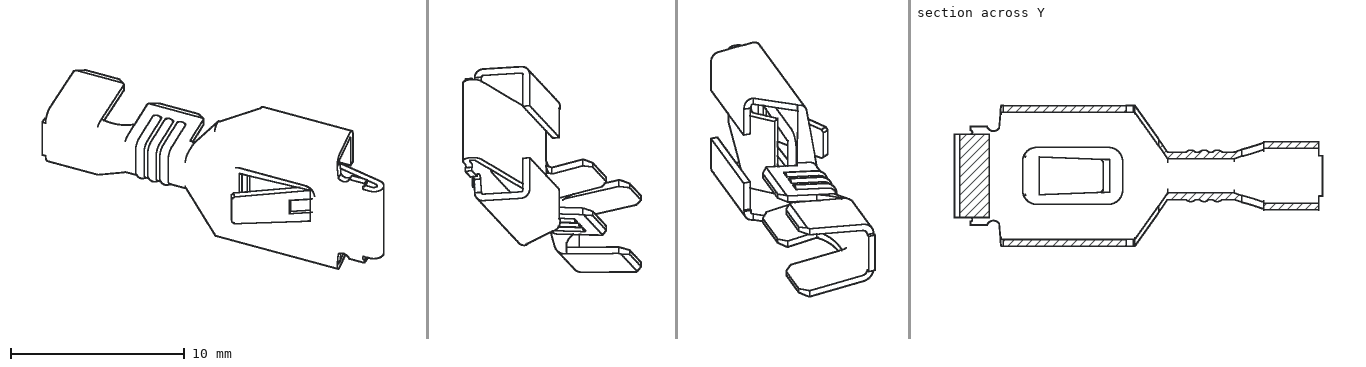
import cadquery as cq
import math

sheet = 0.4

ins_floor_y = -0.21
ins_half_floor = 1.17
ins_bend_radius = 0.73
ins_lean = 6.4
ins_top = 4.19
ins_wing_start = 0.22
ins_end = 3.40
ins_tip_bevel = 0.38
ins_corner_x = 0.53
ins_corner_y = 0.48

wire_floor_y = 0.05
wire_half_floor = 0.73
wire_bend_radius = 0.57
wire_lean = 8.5
wire_top = 3.69
wire_start = 5.08
wire_wing_end = 8.63
wire_end = 8.92
wire_tip_bevel = 0.38
wire_corner_x = 0.52
wire_corner_y = 0.42
tip_bevel_depth = 0.14

bead_width = 0.535
bead_height = 0.12
bead_pitch = 0.765
bead_middle = 6.82
bead_count = 3
bead_top = 2.5

neck_low = 0.57
neck_middle_x = 4.45
neck_middle_y = 0.94
neck_high = 1.5
flare_high = 1.4
flare_low = 0.55

box_start = 10.8
box_end = 18.54
box_half_width = 4.05
box_height = 3.19
box_bend_radius = 0.51
lip_inner_z = 1.6
lip_step_z = 3.4
lip_step_depth = 0.13
lip_bend_y = box_height - box_bend_radius
wall_front_foot_x = 10.89
wall_front_bend_x = 12.48
wall_front_top_x = 12.53
wall_rear_bend_x = 18.14
wall_rear_top_x = 18.1

neck_plate_z = 2.75
neck_plate_x = 18.61
shoulder_start = 19.3
shoulder_end = 20.26
shoulder_z = 2.84
notch_bottom_x = 18.96
notch_bottom_z = 2.58
relief_radius = 0.11
spring_half_width = 2.4

fold_x = 20.6
fold_radius = 0.58
spring_rise = 12.5
lead_in_angle = 45.0
lead_in_end_x = 12.2
lead_in_end_y = 1.46
spring_crest_radius = 0.6

dish_start = 11.5
dish_end = 17.26
dish_half_width = 1.64
dish_corner_radius = 0.83
dish_wall_run = 0.4
dish_depth = 0.25
dish_core_overlap = 0.05

lance_angle = 30.2
lance_floor_x = 16.3
lance_tip_y = -2.03
lance_tip_half = 0.93
lance_root_half = 1.115
lance_tip_chamfer = 0.14
lance_slot_start = 12.25
lance_root_end = 17.09
rib_start = 15.68
rib_half_width = 0.48
rib_depth = 0.1
rib_edge_run = 0.09

lance_slope = math.tan(math.radians(lance_angle))
lance_sine = math.sin(math.radians(lance_angle))
lance_cosine = math.cos(math.radians(lance_angle))
lance_tip_x = lance_floor_x + lance_tip_y / lance_slope

through = 20.0


def outer_bend_end(half_floor, radius, lean, floor_y):
    """(Y, Z) where the bend of a channel section runs into its wing."""
    angle = math.radians(lean)
    return floor_y + radius * (1 - math.sin(angle)), half_floor + radius * math.cos(angle)


def bend_point(half_floor, radius, center_y, sweep):
    """(Y, Z) on a bend arc, the sweep being measured from the floor."""
    angle = math.radians(sweep)
    return center_y - radius * math.cos(angle), half_floor + radius * math.sin(angle)


def wing_z(half_floor, radius, lean, floor_y, y):
    """Z of the outer wing face at height y."""
    bend_y, bend_z = outer_bend_end(half_floor, radius, lean, floor_y)
    return bend_z + (y - bend_y) * math.tan(math.radians(lean))


def mirrored(points):
    """(Y, Z) points reflected in the plane Z = 0."""
    return [(y, -z) for y, z in points]


def channel(work, half_floor, radius, lean, floor_y, top, bevel=0.0):
    """Closed U section of constant sheet thickness with wings leaning outward."""
    center_y = floor_y + radius
    sweep = 90 - lean
    inner = radius - sheet
    thickness_z = sheet / math.cos(math.radians(lean))
    out_start = (floor_y, half_floor)
    out_mid = bend_point(half_floor, radius, center_y, sweep / 2)
    out_end = bend_point(half_floor, radius, center_y, sweep)
    in_start = (floor_y + sheet, half_floor)
    in_mid = bend_point(half_floor, inner, center_y, sweep / 2)
    in_end = bend_point(half_floor, inner, center_y, sweep)
    top_z = wing_z(half_floor, radius, lean, floor_y, top)
    tips = [(top, top_z), (top, top_z - thickness_z)]
    if bevel:
        bevel_y = top - bevel
        bevel_z = wing_z(half_floor, radius, lean, floor_y, bevel_y)
        tips = [(bevel_y, bevel_z), (top, top_z - tip_bevel_depth), tips[1]]
    left = mirrored([in_start, in_mid, in_end])
    left_out = mirrored([out_end, out_mid, out_start])
    work = work.moveTo(*out_start).threePointArc(out_mid, out_end)
    for point in tips + [in_end]:
        work = work.lineTo(*point)
    work = work.threePointArc(in_mid, in_start).lineTo(*left[0]).threePointArc(left[1], left[2])
    for point in mirrored(tips[::-1]) + [left_out[0]]:
        work = work.lineTo(*point)
    return work.threePointArc(left_out[1], left_out[2]).close()


def section_plane(x):
    """Workplane across the part at x, its local axes being Y and Z."""
    return cq.Workplane("YZ", origin=(x, 0, 0))


def side_prism(points):
    """Solid with the given outline in XY, reaching far to both sides in Z."""
    return cq.Workplane("XY").polyline(points).close().extrude(through, both=True)


INS = (ins_half_floor, ins_bend_radius, ins_lean, ins_floor_y)
WIRE = (wire_half_floor, wire_bend_radius, wire_lean, wire_floor_y)
BOX = (box_half_width - box_bend_radius, box_bend_radius, 0.0, 0.0)


def crimp(section, start, end, top, bevel, corner_x, corner_y):
    """Crimp channel with bevelled wing tips and clipped tip corners."""
    body = channel(section_plane(start), *section, top, bevel).extrude(end - start)
    floor_y = section[3]
    outline = [
        (start, floor_y),
        (start, top - corner_y),
        (start + corner_x, top),
        (end - corner_x, top),
        (end, top - corner_y),
        (end, floor_y),
    ]
    return body.intersect(side_prism(outline))


def insulation_crimp():
    """Insulation crimp with its floor running on past the wings to the cable end."""
    body = crimp(INS, ins_wing_start, ins_end, ins_top, ins_tip_bevel, ins_corner_x, ins_corner_y)
    tab = cq.Workplane("XY").box(ins_end, sheet, 2 * ins_half_floor, centered=(False, False, True))
    return body.union(tab.translate((0, ins_floor_y, 0)))


def bead(x):
    """Bead of circular-segment section running around the outside of the wire crimp."""
    bend_y, bend_z = outer_bend_end(*WIRE)
    center_y = wire_floor_y + wire_bend_radius
    middle = bend_point(wire_half_floor, wire_bend_radius, center_y, (90 - wire_lean) / 2)
    top_z = wing_z(*WIRE, bead_top)
    path = (
        section_plane(x)
        .moveTo(bead_top, -top_z)
        .lineTo(bend_y, -bend_z)
        .threePointArc((middle[0], -middle[1]), (wire_floor_y, -wire_half_floor))
        .lineTo(wire_floor_y, wire_half_floor)
        .threePointArc(middle, (bend_y, bend_z))
        .lineTo(bead_top, top_z)
    )
    lean = math.radians(wire_lean)
    start = cq.Plane(
        origin=(x, bead_top, -top_z),
        xDir=(-1, 0, 0),
        normal=(0, -math.cos(lean), math.sin(lean)),
    )
    half = bead_width / 2
    root = sheet / 2
    profile = (
        cq.Workplane(start)
        .moveTo(-half, -root)
        .lineTo(-half, 0)
        .threePointArc((0, bead_height), (half, 0))
        .lineTo(half, -root)
        .close()
    )
    return profile.sweep(path)


def wire_crimp():
    """Wire crimp with its row of beads."""
    body = crimp(
        WIRE, wire_start, wire_wing_end, wire_top, wire_tip_bevel, wire_corner_x, wire_corner_y
    )
    for index in range(bead_count):
        x = bead_middle + (index - (bead_count - 1) / 2) * bead_pitch
        body = body.union(bead(x))
    return body


def loft_channel(start_x, start_section, start_top, end_x, end_section, end_top):
    """Straight-ruled transition between two channel sections."""
    work = channel(section_plane(start_x), *start_section, start_top)
    work = channel(work.workplane(offset=end_x - start_x), *end_section, end_top)
    return work.loft(ruled=True)


def crimp_neck():
    """Transition between the crimps, its walls trimmed to a hollow curve."""
    body = loft_channel(ins_end, INS, neck_high, wire_start, WIRE, neck_high)
    above = (
        cq.Workplane("XY")
        .moveTo(ins_end, neck_low)
        .threePointArc((neck_middle_x, neck_middle_y), (wire_start, neck_high))
        .lineTo(wire_start, through)
        .lineTo(ins_end, through)
        .close()
        .extrude(through, both=True)
    )
    return body.cut(above)


def box_flare():
    """Transition widening from the wire crimp to the box."""
    slope = (flare_low - flare_high) / (box_start - wire_wing_end)
    joint_top = flare_high + slope * (wire_end - wire_wing_end)
    straight = loft_channel(wire_wing_end, WIRE, flare_high, wire_end, WIRE, joint_top)
    flare = loft_channel(wire_end, WIRE, joint_top, box_start, BOX, flare_low)
    return straight.union(flare)


def box():
    """Floor, side walls and inturned lips, trimmed to the slanted wall outline."""
    length = box_end - box_start
    plane = section_plane(box_start)
    outer = (
        plane.center(box_height / 2, 0)
        .rect(box_height, 2 * box_half_width)
        .extrude(length)
        .edges("|X")
        .fillet(box_bend_radius)
    )
    inner = (
        plane.center(box_height / 2, 0)
        .rect(box_height - 2 * sheet, 2 * box_half_width - 2 * sheet)
        .extrude(length)
        .edges("|X")
        .fillet(box_bend_radius - sheet)
    )
    mouth = (
        plane.center(box_height - sheet, 0)
        .rect(2 * sheet, 2 * lip_inner_z)
        .extrude(length)
    )
    outline = [
        (box_start, 0),
        (box_start, flare_low),
        (wall_front_foot_x, flare_low),
        (wall_front_bend_x, lip_bend_y),
        (wall_front_top_x, box_height),
        (wall_rear_top_x, box_height),
        (wall_rear_bend_x, lip_bend_y),
        (box_end, 0),
    ]
    lip_step = cq.Workplane("XY").box(
        2 * (wall_front_top_x + lip_step_depth - box_start),
        2 * sheet,
        2 * lip_step_z,
    )
    lip_step = lip_step.translate((box_start, box_height - sheet, 0))
    body = outer.cut(inner).cut(mouth).cut(lip_step)
    return body.intersect(side_prism(outline))


def end_plate():
    """Flat floor beyond the box with its notches, up to the fold."""
    flat_z = box_half_width - box_bend_radius
    start = wall_rear_bend_x
    upper = (
        cq.Workplane("XZ")
        .moveTo(start, 0)
        .lineTo(start, flat_z)
        .lineTo(box_end, flat_z)
        .lineTo(neck_plate_x, neck_plate_z)
        .threePointArc((notch_bottom_x, notch_bottom_z), (shoulder_start, shoulder_z))
        .lineTo(shoulder_end, shoulder_z)
        .lineTo(shoulder_end, spring_half_width + 2 * relief_radius)
        .threePointArc(
            (shoulder_end - relief_radius, spring_half_width + relief_radius),
            (shoulder_end, spring_half_width),
        )
        .lineTo(fold_x, spring_half_width)
        .lineTo(fold_x, 0)
        .close()
        .extrude(-sheet)
    )
    return upper.union(upper.mirror("XY"))


def spring():
    """Leaf folded back over the floor, rising to a crest and falling to a lead-in."""
    rise = math.radians(spring_rise)
    lead = math.radians(lead_in_angle)
    inner_radius = fold_radius - sheet

    def fold_point(radius, angle):
        return fold_x + radius * math.cos(angle), fold_radius + radius * math.sin(angle)

    fold_end = math.pi / 2 - rise
    fold_mid = (fold_end - math.pi / 2) / 2
    top_start = fold_point(fold_radius, fold_end)
    crest_x = (
        top_start[1]
        + top_start[0] * math.tan(rise)
        - lead_in_end_y
        + lead_in_end_x * math.tan(lead)
    ) / (math.tan(rise) + math.tan(lead))
    crest_y = lead_in_end_y + (crest_x - lead_in_end_x) * math.tan(lead)
    half_turn = (rise + lead) / 2
    bisector = math.pi / 2 + (lead - rise) / 2
    corner_gap = sheet / math.cos(half_turn)
    inner_crest = (
        crest_x - corner_gap * math.cos(bisector),
        crest_y - corner_gap * math.sin(bisector),
    )
    inner_tip = (
        lead_in_end_x + sheet * math.sin(lead),
        lead_in_end_y - sheet * math.cos(lead),
    )
    leaf = (
        cq.Workplane("XY")
        .moveTo(fold_x, 0)
        .threePointArc(fold_point(fold_radius, fold_mid), top_start)
        .lineTo(crest_x, crest_y)
        .lineTo(lead_in_end_x, lead_in_end_y)
        .lineTo(*inner_tip)
        .lineTo(*inner_crest)
        .lineTo(*fold_point(inner_radius, fold_end))
        .threePointArc(fold_point(inner_radius, fold_mid), (fold_x, sheet))
        .close()
        .extrude(spring_half_width, both=True)
    )
    near_crest = cq.selectors.BoxSelector(
        (crest_x - sheet / 2, crest_y - sheet / 4, -through),
        (crest_x + sheet / 2, crest_y + sheet / 4, through),
    )
    near_inner_crest = cq.selectors.BoxSelector(
        (inner_crest[0] - sheet / 4, inner_crest[1] - sheet / 4, -through),
        (inner_crest[0] + sheet / 4, inner_crest[1] + sheet / 4, through),
    )
    leaf = leaf.edges("|Z").edges(near_crest).fillet(spring_crest_radius)
    return leaf.edges("|Z").edges(near_inner_crest).fillet(spring_crest_radius - sheet)


def rounded_block(inset, y, height):
    """Block inset from the dish outline, standing on y and reaching toward +Y."""
    length = dish_end - dish_start - 2 * inset
    width = 2 * (dish_half_width - inset)
    middle = (dish_start + dish_end) / 2
    return (
        cq.Workplane("XZ", origin=(middle, y, 0))
        .rect(length, width)
        .extrude(-height)
        .edges("|Y")
        .fillet(dish_corner_radius - inset)
    )


def dish_rim_path():
    """Closed rounded outline of the dish, starting at the middle of its -X side."""
    middle = (dish_start + dish_end) / 2
    half_length = (dish_end - dish_start) / 2
    radius = dish_corner_radius
    bow_inset = radius * (1 - math.sqrt(0.5))
    work = cq.Workplane("XZ").moveTo(dish_start, 0)
    for side_x, side_z in ((-1, 1), (1, 1), (1, -1), (-1, -1)):
        corner_x = middle + side_x * half_length
        corner_z = side_z * dish_half_width
        on_end = (corner_x, corner_z - side_z * radius)
        on_side = (corner_x - side_x * radius, corner_z)
        bow = (corner_x - side_x * bow_inset, corner_z - side_z * bow_inset)
        first, last = (on_end, on_side) if side_x * side_z < 0 else (on_side, on_end)
        work = work.lineTo(*first).threePointArc(bow, last)
    return work.close()


def dish_hollow():
    """Recess whose wall is an S of two equal arcs, carried around the dish outline."""
    half_run = dish_wall_run / 2
    turn = 2 * math.atan(dish_depth / dish_wall_run)
    radius = half_run / math.sin(turn)
    bow_run = radius * math.sin(turn / 2)
    bow_depth = radius * (1 - math.cos(turn / 2))
    core_inset = dish_wall_run + dish_core_overlap
    profile = (
        cq.Workplane("XY")
        .moveTo(dish_start, 0)
        .threePointArc(
            (dish_start + bow_run, bow_depth),
            (dish_start + half_run, dish_depth / 2),
        )
        .threePointArc(
            (dish_start + dish_wall_run - bow_run, dish_depth - bow_depth),
            (dish_start + dish_wall_run, dish_depth),
        )
        .lineTo(dish_start + core_inset, dish_depth)
        .lineTo(dish_start + core_inset, 0)
        .close()
    )
    rim = profile.sweep(dish_rim_path())
    return rim.union(rounded_block(dish_wall_run, 0, dish_depth))


def lance_half_width(x):
    """Half width of the lance, tapering from its root to its tip."""
    share = (x - lance_slot_start) / (lance_root_end - lance_slot_start)
    return lance_tip_half + share * (lance_root_half - lance_tip_half)


def lance_prism(start, end):
    """Tall prism with the tapered lance outline."""
    start_half = lance_half_width(start)
    end_half = lance_half_width(end)
    points = [(start, -start_half), (end, -end_half), (end, end_half), (start, start_half)]
    return cq.Workplane("XZ").polyline(points).close().extrude(through, both=True)


def lance():
    """Sloping locking tongue, levelling off where it leaves the dish floor."""
    root_x = lance_floor_x + dish_depth / lance_slope
    upper_y = dish_depth + sheet
    upper_root_x = root_x + (sheet - sheet / lance_cosine) / lance_slope
    outline = [
        (lance_tip_x, lance_tip_y),
        (root_x, dish_depth),
        (lance_root_end, dish_depth),
        (lance_root_end, upper_y),
        (upper_root_x, upper_y),
        (lance_tip_x - sheet * lance_sine, lance_tip_y + sheet * lance_cosine),
    ]
    body = side_prism(outline)
    body = body.intersect(lance_prism(lance_tip_x - sheet, lance_root_end))
    tip_plane = cq.Plane(
        origin=(lance_tip_x, lance_tip_y, 0),
        xDir=(lance_cosine, lance_sine, 0),
        normal=(lance_sine, -lance_cosine, 0),
    )
    half = lance_half_width(lance_tip_x - sheet * lance_sine)
    for side in (-1, 1):
        clip = (
            cq.Workplane(tip_plane)
            .polyline(
                [
                    (-lance_tip_chamfer, side * (half - 2 * lance_tip_chamfer)),
                    (2 * lance_tip_chamfer, side * (half + lance_tip_chamfer)),
                    (-lance_tip_chamfer, side * (half + lance_tip_chamfer)),
                ]
            )
            .close()
            .extrude(sheet * 2, both=True)
        )
        body = body.cut(clip)
    return body


def lance_rib():
    """Shallow drafted pocket pressed into the underside of the lance at its root."""
    rib_y = (rib_start - lance_floor_x) * lance_slope
    length = (lance_root_end - rib_start) / lance_cosine
    plane = cq.Plane(
        origin=(rib_start + length / 2 * lance_cosine, rib_y + length / 2 * lance_sine, 0),
        xDir=(lance_cosine, lance_sine, 0),
        normal=(-lance_sine, lance_cosine, 0),
    )
    draft = math.degrees(math.atan(rib_edge_run / rib_depth))
    return cq.Workplane(plane).rect(length, 2 * rib_half_width).extrude(rib_depth, taper=draft)


def receptacle():
    """Box, end plate and spring with the pressed dish and its lance."""
    body = box().union(end_plate()).union(spring())
    back = rounded_block(0, sheet / 2, sheet / 2 + dish_depth).faces(">Y").edges()
    body = body.union(back.fillet(dish_depth / 2))
    body = body.cut(dish_hollow())
    slot = lance_prism(lance_slot_start, lance_floor_x)
    floor_layer = cq.Workplane("XY").box(through * 2, 2 * (sheet + dish_depth), through)
    body = body.cut(slot.intersect(floor_layer))
    return body.union(lance()).cut(lance_rib())


result = (
    insulation_crimp()
    .union(crimp_neck())
    .union(wire_crimp())
    .union(box_flare())
    .union(receptacle())
)